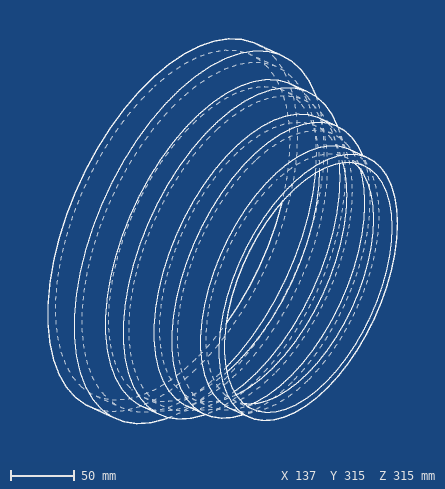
import cadquery as cq


OUTER_DIAMETERS = [315.0, 280.0, 250.0, 225.0]
INNER_DIAMETERS = [295.6, 266.2, 236.2, 211.2]

TOTAL_LENGTH = 137.0
WIDE_BAND_LENGTH = 26.8
MIDDLE_BAND_LENGTH = 18.0
FIRST_CONE_LENGTH = (OUTER_DIAMETERS[0] - OUTER_DIAMETERS[1]) / 2
CONE_LENGTH = 19.0

SECOND_BORE_LEAD = 2.5

second_start = WIDE_BAND_LENGTH + FIRST_CONE_LENGTH
second_end = second_start + MIDDLE_BAND_LENGTH
third_start = second_end + CONE_LENGTH
third_end = third_start + MIDDLE_BAND_LENGTH
narrow_start = third_end + CONE_LENGTH

outer_spans = [
    (0, WIDE_BAND_LENGTH),
    (second_start, second_end),
    (third_start, third_end),
    (narrow_start, TOTAL_LENGTH),
]
inner_spans = list(outer_spans)
inner_spans[1] = (second_start - SECOND_BORE_LEAD, second_end)


def wall_side(diameters, spans):
    """Points along one side of the wall: two per band, with a cone between bands."""
    points = []
    for diameter, (start, end) in zip(diameters, spans):
        points.append((start, diameter / 2))
        points.append((end, diameter / 2))
    return points


outer_side = wall_side(OUTER_DIAMETERS, outer_spans)
inner_side = wall_side(INNER_DIAMETERS, inner_spans)

half_section = cq.Workplane("XY").polyline(outer_side + inner_side[::-1]).close()
result = half_section.revolve(360, (0, 0, 0), (1, 0, 0))